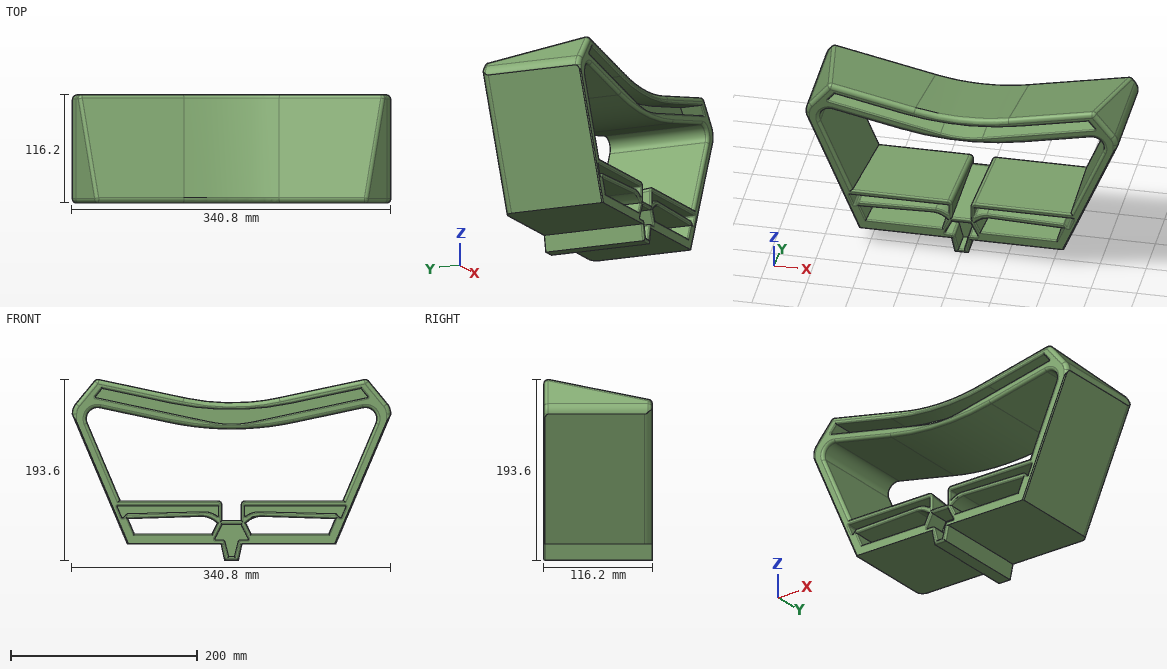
import cadquery as cq
import math


DEPTH = 116.19
HALF_BASE = 111.5
SIDE_ANGLE = 23.0
HALF_WIDTH = 170.41
SHOULDER_Z = 143.1
SHOULDER_ANGLE = 50.5
SHOULDER_RADIUS = 17.0
PEAK_RADIUS = 4.5

ROOF_ANGLE = 12.0
ROOF_FALL_ANGLE = 13.2
ROOF_VALLEY_Z = 146.99
ROOF_RADIUS = 245.0
UNDERSIDE_VALLEY_Z = 115.7
UNDERSIDE_RADIUS = 320.0

SIDE_WALL = 12.0
INNER_CORNER_RADIUS = 12.0
SHELF_Z = 46.4
SHELF_FALL_ANGLE = 6.8
SHELF_CORNER_RADIUS = 4.5
CHANNEL_HALF_WIDTH = 10.3
CHANNEL_Z = 25.3
WINDOW_Z = 10.8
SILL_FALL_ANGLE = 4.6
WINDOW_TOP_OUTER_Z = 27.0
WINDOW_TOP_INNER = (-31.0, 29.5)
WINDOW_ARCH_MIDDLE = (-21.8, 27.0)
WINDOW_ARCH_END = (-15.2, 22.3)
WINDOW_SILL_INNER_X = -20.8

KEEL_DEPTH = 17.6
KEEL_HALF_TOP = 11.2
KEEL_HALF_BOTTOM = 7.4
KEEL_ROOT = 6.0

POCKET_DEPTH = 25.0
ROOF_POCKET_TOP_VALLEY_Z = 136.9
ROOF_POCKET_TOP_RADIUS = 310.0
ROOF_POCKET_FLOOR_VALLEY_Z = 125.6
ROOF_POCKET_FLOOR_RADIUS = 110.0
ROOF_POCKET_END_X = 138.5
SHELF_POCKET_TOP_Z = 40.6
SHELF_POCKET_WALL = 6.0
SHELF_POCKET_INNER_X = -13.9
SHELF_POCKET_ARCH_END = (-13.9, 28.6)
SHELF_POCKET_ARCH_MIDDLE = (-20.0, 32.4)
SHELF_POCKET_ARCH_START = (-28.0, 34.4)
SHELF_POCKET_DIP_EDGE = (-111.8, 32.3)
SHELF_POCKET_DIP_X = -115.7
SHELF_POCKET_DIP_Z = 28.0
KEEL_POCKET_TOP_Z = 20.6
KEEL_POCKET_HALF_TOP = 10.2
KEEL_POCKET_LEDGE_Z = 4.4
KEEL_POCKET_HALF_LEDGE = 18.4
KEEL_POCKET_HALF_STEM = 7.6
KEEL_POCKET_BOTTOM_Z = -13.6
KEEL_POCKET_HALF_BOTTOM = 3.0
KEEL_POCKET_LEDGE_RADIUS = 3.0
POCKET_CORNER_RADIUS = 0.8

ROOF_EDGE = 4.8
SIDE_FRONT_EDGE = 1.2
SIDE_REAR_EDGE = 8.3
OPENING_EDGE = 3.5
SHELF_EDGE = 1.9
WINDOW_EDGE = 1.4
KEEL_EDGE = 1.8
POCKET_EDGE = 1.4
CHANNEL_REAR_EDGE = 8.0

side_run = math.tan(math.radians(SIDE_ANGLE))
shoulder_rise = math.tan(math.radians(SHOULDER_ANGLE))
roof_rise = math.tan(math.radians(ROOF_ANGLE))
roof_fall = math.tan(math.radians(ROOF_FALL_ANGLE))
MARGIN = 20.0
MATCH = 0.01


def plan(x, z):
    """Start an outline on the front face."""
    return cq.Workplane("XZ").moveTo(x, z)


def prism(outline, length=DEPTH):
    """Extrude an outline from the front face toward the rear."""
    return outline.close().extrude(-length)


def side_x(z):
    """X of the left outer side face."""
    return -HALF_BASE - z * side_run


def inner_side_x(z):
    """X of the inner face of the left side wall."""
    return side_x(z) + SIDE_WALL


def wing_z(x, valley_z):
    """Height of a straight wing line."""
    return valley_z + abs(x) * roof_rise


def add_valley(outline, end_x, valley_z, radius):
    """Continue from one wing over the round in the middle to end_x on the other wing."""
    direction = math.copysign(1, end_x)
    tangent_x = radius * math.sin(math.radians(ROOF_ANGLE))
    tangent_z = wing_z(tangent_x, valley_z)
    middle_z = valley_z + radius / math.cos(math.radians(ROOF_ANGLE)) - radius
    return (
        outline.lineTo(-direction * tangent_x, tangent_z)
        .threePointArc((0, middle_z), (direction * tangent_x, tangent_z))
        .lineTo(end_x, wing_z(end_x, valley_z))
    )


def edges_like(body, pattern):
    """Edges of the body that share their centre with an edge of the pattern."""
    centers = [edge.Center() for edge in pattern.vals()]
    return body.newObject([
        edge for edge in body.edges().vals()
        if any((edge.Center() - center).Length < MATCH for center in centers)
    ])


def without_lowest(edges):
    """All the given edges except the lowest one."""
    lowest = edges.edges("<Z").val()
    return edges.newObject([edge for edge in edges.vals() if not edge.isSame(lowest)])


def cut_with_lip(body, tool, lip):
    """Cut the tool out of the body and round the lip it leaves in the front face."""
    return edges_like(body.cut(tool), tool.faces("<Y").edges()).fillet(lip)


def mirrored(solid):
    """The same solid on the other side of the symmetry plane."""
    return solid.mirror("YZ")


def make_side_body():
    """Tapered block between the outer side faces, with eased front and rear edges."""
    top_z = SHOULDER_Z + 2 * MARGIN
    block = prism(
        plan(-HALF_BASE, 0).lineTo(side_x(top_z), top_z)
        .lineTo(-side_x(top_z), top_z).lineTo(HALF_BASE, 0)
    )
    block = block.faces("<Y").edges("not #Z").edges("not |X").chamfer(SIDE_FRONT_EDGE)
    return block.faces(">Y").edges("not |X").fillet(SIDE_REAR_EDGE)


def make_roof_sky():
    """Everything above the roof, which falls toward the rear."""
    half = HALF_WIDTH + MARGIN
    sky_z = wing_z(half, ROOF_VALLEY_Z) + DEPTH
    outline = add_valley(
        plan(-half, sky_z).lineTo(-half, wing_z(half, ROOF_VALLEY_Z)),
        half, ROOF_VALLEY_Z, ROOF_RADIUS,
    ).lineTo(half, sky_z).close()
    length = DEPTH + 2 * MARGIN
    sky = cq.Solid.extrudeLinear(outline.wire().val(), [], cq.Vector(0, length, -length * roof_fall))
    return cq.Workplane(sky.translate(cq.Vector(0, -MARGIN, MARGIN * roof_fall)))


def make_roof_body():
    """Block below the roof and the shoulder facets, rounded along its outline."""
    corner_x = -side_x(SHOULDER_Z)
    facet_z = SHOULDER_Z + (corner_x - HALF_WIDTH) * shoulder_rise
    top_x = HALF_WIDTH / 2
    top_z = SHOULDER_Z + (corner_x - top_x) * shoulder_rise
    block = prism(
        plan(-HALF_WIDTH, -MARGIN).lineTo(-HALF_WIDTH, facet_z).lineTo(-top_x, top_z)
        .lineTo(top_x, top_z).lineTo(HALF_WIDTH, facet_z).lineTo(HALF_WIDTH, -MARGIN)
    )
    block = block.faces("<X or >X").edges(">Z").fillet(SHOULDER_RADIUS).cut(make_roof_sky())
    ridge_size = DEPTH / 2
    ridges = block.newObject([
        edge for edge in block.edges().vals()
        if abs(edge.Center().x) > HALF_WIDTH - ridge_size / 2
        and edge.Center().z > facet_z + SHOULDER_RADIUS
        and edge.Length() > DEPTH
    ])
    block = ridges.fillet(PEAK_RADIUS)
    for face in ("<Y", ">Y"):
        outline = without_lowest(block.faces(face).edges())
        block = block.newObject(outline.vals()).fillet(ROOF_EDGE)
    return block


def sloping_block(x_start, x_end, front_z, fall_angle):
    """Block whose top starts at front_z on the front face and falls toward the rear."""
    rear_z = front_z - DEPTH * math.tan(math.radians(fall_angle))
    side = cq.Workplane("YZ").polyline([(0, front_z), (DEPTH, rear_z), (DEPTH, -MARGIN), (0, -MARGIN)])
    return side.close().extrude(x_end - x_start).translate((x_start, 0, 0))


def make_opening():
    """Large opening below the roof, down to the shelves and the channel floor."""
    corner_x = (UNDERSIDE_VALLEY_Z * side_run + HALF_BASE - SIDE_WALL) / (1 - roof_rise * side_run)
    outline = add_valley(
        plan(inner_side_x(CHANNEL_Z), CHANNEL_Z).lineTo(-corner_x, wing_z(corner_x, UNDERSIDE_VALLEY_Z)),
        corner_x, UNDERSIDE_VALLEY_Z, UNDERSIDE_RADIUS,
    ).lineTo(-inner_side_x(CHANNEL_Z), CHANNEL_Z)
    opening = prism(outline).edges("|Y").edges("<X or >X").fillet(INNER_CORNER_RADIUS)
    shelf = sloping_block(-HALF_WIDTH, -CHANNEL_HALF_WIDTH, SHELF_Z, SHELF_FALL_ANGLE)
    shelf = shelf.faces(">X").edges(">Z").fillet(SHELF_CORNER_RADIUS)
    return opening.cut(shelf).cut(mirrored(shelf))


def cut_opening(body):
    """Cut the large opening and round its front lip, less at the shelves than at the frame."""
    opening = make_opening()
    lip = opening.faces("<Y").edges()
    frame_lip = lip.newObject([edge for edge in lip.vals() if edge.Center().z > SHELF_Z + 1])
    shelf_lip = lip.newObject([edge for edge in lip.vals() if edge.Center().z < SHELF_Z + 1])
    body = edges_like(body.cut(opening), frame_lip).fillet(OPENING_EDGE)
    return edges_like(body, shelf_lip).fillet(SHELF_EDGE)


def round_channel_rear(body):
    """Round the channel floor where it leaves the rear."""
    channel_rear = cq.selectors.BoxSelector(
        (-CHANNEL_HALF_WIDTH - 1, DEPTH - 1, CHANNEL_Z - 1),
        (CHANNEL_HALF_WIDTH + 1, DEPTH + 1, CHANNEL_Z + 1),
    )
    return body.edges("|X").edges(channel_rear).fillet(CHANNEL_REAR_EDGE)


def make_window():
    """Left window below the shelf, arched toward the keel, with a falling sill."""
    arch_x, arch_z = WINDOW_ARCH_END
    keel_side_run = (arch_x - WINDOW_SILL_INNER_X) / (arch_z - WINDOW_Z)
    window = prism(
        plan(inner_side_x(0), 0)
        .lineTo(inner_side_x(WINDOW_TOP_OUTER_Z), WINDOW_TOP_OUTER_Z)
        .lineTo(*WINDOW_TOP_INNER)
        .threePointArc(WINDOW_ARCH_MIDDLE, WINDOW_ARCH_END)
        .lineTo(arch_x - arch_z * keel_side_run, 0)
    )
    return window.cut(sloping_block(-HALF_WIDTH, 0, WINDOW_Z, SILL_FALL_ANGLE))


def make_shelf_pocket():
    """Left pocket inside the shelf, dipping beside the side wall."""
    pocket = prism(
        plan(side_x(SHELF_POCKET_TOP_Z) + SHELF_POCKET_WALL, SHELF_POCKET_TOP_Z)
        .lineTo(SHELF_POCKET_INNER_X, SHELF_POCKET_TOP_Z)
        .lineTo(*SHELF_POCKET_ARCH_END)
        .threePointArc(SHELF_POCKET_ARCH_MIDDLE, SHELF_POCKET_ARCH_START)
        .lineTo(*SHELF_POCKET_DIP_EDGE)
        .lineTo(SHELF_POCKET_DIP_X, SHELF_POCKET_DIP_Z)
        .lineTo(side_x(SHELF_POCKET_DIP_Z) + SHELF_POCKET_WALL, SHELF_POCKET_DIP_Z),
        POCKET_DEPTH,
    )
    return pocket.edges("|Y").fillet(POCKET_CORNER_RADIUS)


def make_roof_pocket():
    """Long pocket inside the roof, following both wings."""
    upper_z = wing_z(ROOF_POCKET_END_X, ROOF_POCKET_TOP_VALLEY_Z)
    drop = ROOF_POCKET_TOP_VALLEY_Z - ROOF_POCKET_FLOOR_VALLEY_Z
    lower_x = ROOF_POCKET_END_X + drop / (shoulder_rise + roof_rise)
    outline = add_valley(
        plan(-ROOF_POCKET_END_X, upper_z),
        ROOF_POCKET_END_X, ROOF_POCKET_TOP_VALLEY_Z, ROOF_POCKET_TOP_RADIUS,
    ).lineTo(lower_x, wing_z(lower_x, ROOF_POCKET_FLOOR_VALLEY_Z))
    outline = add_valley(outline, -lower_x, ROOF_POCKET_FLOOR_VALLEY_Z, ROOF_POCKET_FLOOR_RADIUS)
    pocket = prism(outline, POCKET_DEPTH)
    return pocket.edges("|Y").edges("<X or >X").fillet(POCKET_CORNER_RADIUS)


def make_keel_pocket():
    """Pocket inside the keel: a tapered head on a narrow stem."""
    half = [
        (KEEL_POCKET_HALF_TOP, KEEL_POCKET_TOP_Z),
        (KEEL_POCKET_HALF_LEDGE, KEEL_POCKET_LEDGE_Z),
        (KEEL_POCKET_HALF_STEM, KEEL_POCKET_LEDGE_Z),
        (KEEL_POCKET_HALF_BOTTOM, KEEL_POCKET_BOTTOM_Z),
    ]
    opposite = [(-x, z) for x, z in reversed(half)]
    pocket = prism(cq.Workplane("XZ").polyline(half + opposite), POCKET_DEPTH)
    pocket = pocket.edges("|Y").edges("<X or >X").fillet(POCKET_CORNER_RADIUS)
    stem = cq.selectors.BoxSelector(
        (-KEEL_POCKET_HALF_STEM - 1, 0, KEEL_POCKET_LEDGE_Z - 1),
        (KEEL_POCKET_HALF_STEM + 1, POCKET_DEPTH, KEEL_POCKET_LEDGE_Z + 1),
    )
    return pocket.edges("|Y").edges(stem).fillet(KEEL_POCKET_LEDGE_RADIUS)


def make_keel():
    """Tapered keel along the base underside."""
    taper = (KEEL_HALF_TOP - KEEL_HALF_BOTTOM) / KEEL_DEPTH
    root_x = KEEL_HALF_TOP + KEEL_ROOT * taper
    keel = prism(
        plan(-root_x, KEEL_ROOT).lineTo(-KEEL_HALF_BOTTOM, -KEEL_DEPTH)
        .lineTo(KEEL_HALF_BOTTOM, -KEEL_DEPTH).lineTo(root_x, KEEL_ROOT)
    )
    return keel.faces("<Y").edges("not >Z").fillet(KEEL_EDGE)


body = make_side_body().union(make_keel()).intersect(make_roof_body())
body = cut_with_lip(body, make_roof_pocket(), POCKET_EDGE)
body = cut_with_lip(body, make_keel_pocket(), POCKET_EDGE)
for pocket in (make_shelf_pocket(), mirrored(make_shelf_pocket())):
    body = cut_with_lip(body, pocket, POCKET_EDGE)
for window in (make_window(), mirrored(make_window())):
    body = cut_with_lip(body, window, WINDOW_EDGE)
result = round_channel_rear(cut_opening(body))